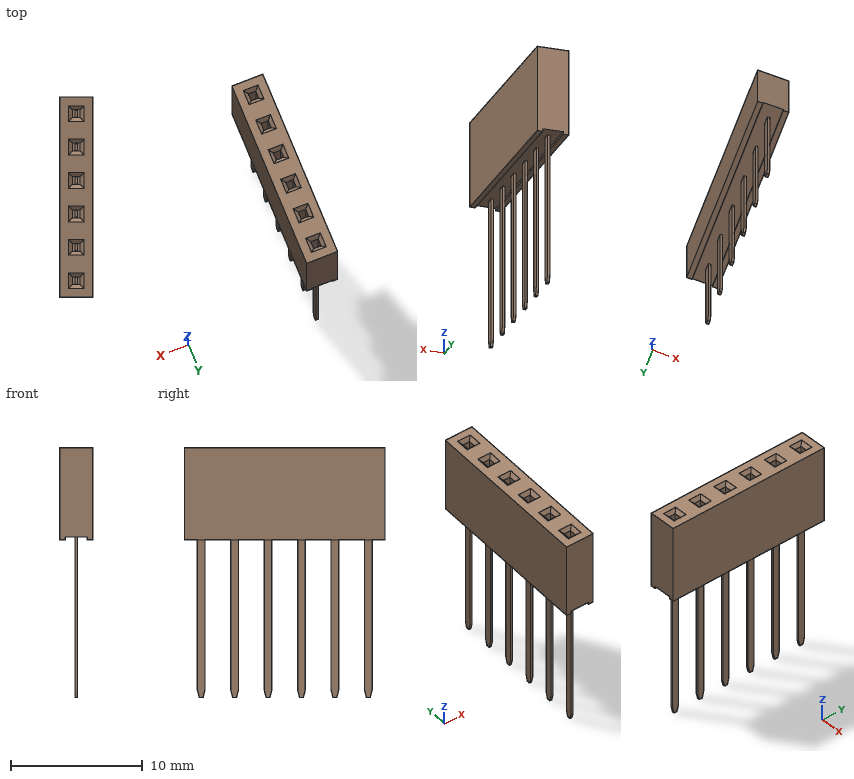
import cadquery as cq

pitch = 2.54
position_count = 6
housing_width = pitch
housing_length = position_count * pitch
housing_height = 7.0

groove_width = 1.65
groove_depth = 0.2

mouth_size = 1.2
shaft_size = 0.6
lead_in_depth = 0.3
socket_depth = 4.0

pin_thickness = 0.2
pin_width = 0.6
pin_projection = 12.0
tip_length = 0.6
tip_width = 0.3

contact_width = 0.5
contact_rise = 0.5

socket_floor = housing_height - socket_depth
pin_top = socket_floor + contact_rise
tip_end = -pin_projection
tip_start = tip_end + tip_length

position_centers = [(i - (position_count - 1) / 2) * pitch for i in range(position_count)]


def make_housing():
    """Rectangular bar with the groove running along its full length."""
    bar = cq.Workplane("XY").box(
        housing_width, housing_length, housing_height, centered=(True, True, False)
    )
    groove = cq.Workplane("XY").box(
        groove_width, housing_length, groove_depth, centered=(True, True, False)
    )
    return bar.cut(groove)


def make_socket(y):
    """Cavity of one socket: pyramidal lead-in plus square shaft."""
    lead_in = (
        cq.Workplane("XY", origin=(0, y, housing_height))
        .rect(mouth_size, mouth_size)
        .workplane(offset=-lead_in_depth)
        .rect(shaft_size, shaft_size)
        .loft(ruled=True)
    )
    shaft = (
        cq.Workplane("XY", origin=(0, y, socket_floor))
        .rect(shaft_size, shaft_size)
        .extrude(socket_depth - lead_in_depth)
    )
    return lead_in.union(shaft)


def make_pin(y):
    """Flat pin: a narrower contact in the socket, then the full-width leg and its tip."""
    half_contact = contact_width / 2
    half_width = pin_width / 2
    half_tip = tip_width / 2
    return (
        cq.Workplane("YZ", origin=(0, y, 0))
        .moveTo(-half_contact, pin_top)
        .lineTo(half_contact, pin_top)
        .lineTo(half_contact, socket_floor)
        .lineTo(half_width, socket_floor)
        .lineTo(half_width, tip_start)
        .lineTo(half_tip, tip_end)
        .lineTo(-half_tip, tip_end)
        .lineTo(-half_width, tip_start)
        .lineTo(-half_width, socket_floor)
        .lineTo(-half_contact, socket_floor)
        .close()
        .extrude(pin_thickness / 2, both=True)
    )


result = make_housing()
for center in position_centers:
    result = result.cut(make_socket(center))
    result = result.union(make_pin(center))